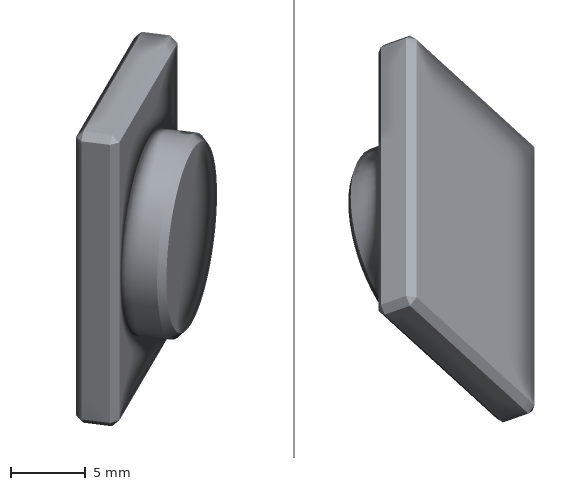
import cadquery as cq

total_depth = 6.0
plate_width = 16.0
plate_height = 22.0
boss_diameter = 14.0
chamfer_size = 0.5

plate_thickness = total_depth / 2
boss_length = total_depth - plate_thickness


def make_plate():
    """Upright rectangular plate with every edge chamfered."""
    plate = cq.Workplane("YZ").rect(plate_width, plate_height).extrude(plate_thickness)
    return plate.edges().chamfer(chamfer_size)


def make_boss():
    """Round boss on the +X face of the plate, chamfered at its free end."""
    boss = (
        cq.Workplane("YZ", origin=(plate_thickness, 0, 0))
        .circle(boss_diameter / 2)
        .extrude(boss_length)
    )
    return boss.faces(">X").edges().chamfer(chamfer_size)


result = make_plate().union(make_boss())